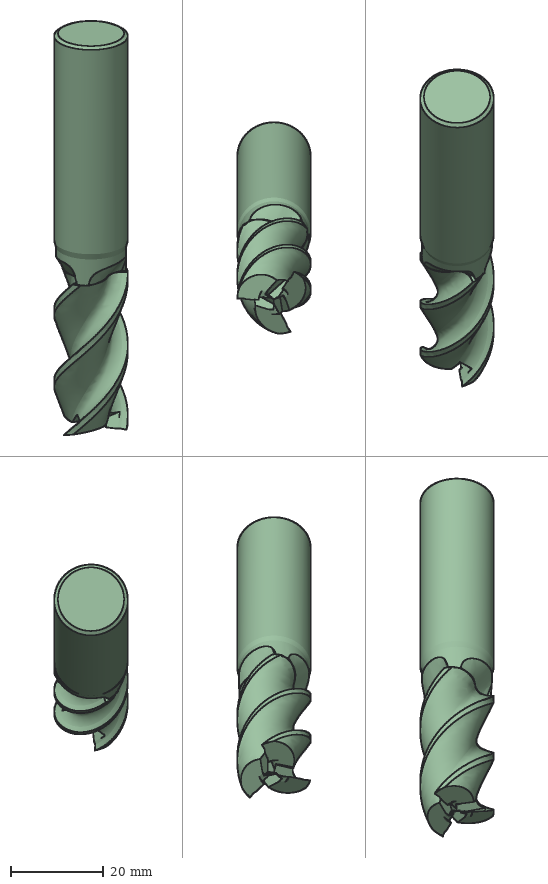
import cadquery as cq
import math

LENGTH = 92.0
DIAMETER = 16.0
RADIUS = DIAMETER / 2
SHANK_CHAMFER_WIDTH = 0.8
SHANK_CHAMFER_HEIGHT = 0.55

NECK_RADIUS = 7.6
NECK_CONE_TOP = 43.5
NECK_CONE_BASE = 42.1

CUTTER_LENGTH = 36.0
FLUTES = 3
FLUTE_PITCH = 360 / FLUTES
HELIX_ANGLE = 45.0
LEAD = math.pi * DIAMETER / math.tan(math.radians(HELIX_ANGLE))
CUTTER_TWIST = 360 * CUTTER_LENGTH / LEAD
EDGE_ANGLE = 56.0

LAND_ANGLE = 13.0
HEEL_RADIUS = 6.8
HEEL_ANGLE = 36.0
ROOT_RADIUS = 4.4
ROOT_ANGLE = 83.0
RAKE_RADIUS = 6.7
RAKE_ANGLE = 1.0

RUNOUT_RADIUS = 8.3
RUNOUT_HEIGHT = 5.15
RUNOUT_LAND_TURN = 6.0
RUNOUT_EDGE_TURN = -6.0
RUNOUT_HEEL_TURN = -8.0
RUNOUT_ROOT_TURN = 10.0
RUNOUT_RAKE_ARC = 6.0

END_RELIEF_ANGLE = 17.0
GASH_WIDTH = 2.2
GASH_LEAN = 38.0
GASH_SLOPE = 30.0
TIP_RECESS_RADIUS = 3.3
TIP_RECESS_DEPTH = 0.55
CLEARANCE = 0.9


def polar(radius, angle):
    """Point in the XY plane; the angle is in degrees."""
    return cq.Vector(radius * math.cos(math.radians(angle)), radius * math.sin(math.radians(angle)))


def fluted_outline(land_radius, first_edge, land_turn=0.0):
    """Closed outline of land, convex tooth back, concave flute and flat rake face for every tooth."""
    edges = []
    for tooth in range(FLUTES):
        start = first_edge + tooth * FLUTE_PITCH
        land_start = start + land_turn
        land_end = polar(land_radius, land_start + LAND_ANGLE)
        root = polar(ROOT_RADIUS, start + ROOT_ANGLE)
        rake_foot = polar(RAKE_RADIUS, start + FLUTE_PITCH + land_turn + RAKE_ANGLE)
        land = cq.Edge.makeThreePointArc(
            polar(land_radius, land_start), polar(land_radius, land_start + LAND_ANGLE / 2), land_end
        )
        back = cq.Edge.makeThreePointArc(land_end, polar(HEEL_RADIUS, start + HEEL_ANGLE), root)
        flute = cq.Edge.makeTangentArc(root, back.tangentAt(1), rake_foot)
        rake = cq.Edge.makeLine(rake_foot, polar(land_radius, land_start + FLUTE_PITCH))
        edges += [land, back, flute, rake]
    return cq.Wire.assembleEdges(edges)


def runout_circle(first_edge):
    """Circle at the runout's top, split into one arc for each edge of the fluted outline."""
    splits = []
    for tooth in range(FLUTES):
        start = first_edge + tooth * FLUTE_PITCH
        edge = start + RUNOUT_LAND_TURN + RUNOUT_EDGE_TURN
        splits += [
            edge,
            start + RUNOUT_LAND_TURN + LAND_ANGLE + RUNOUT_HEEL_TURN,
            start + ROOT_ANGLE + RUNOUT_ROOT_TURN,
            edge + FLUTE_PITCH - RUNOUT_RAKE_ARC,
        ]
    splits.append(splits[0] + 360)
    arcs = [
        cq.Edge.makeThreePointArc(
            polar(RUNOUT_RADIUS, begin),
            polar(RUNOUT_RADIUS, (begin + end) / 2),
            polar(RUNOUT_RADIUS, end),
        )
        for begin, end in zip(splits, splits[1:])
    ]
    return cq.Wire.assembleEdges(arcs)


def flute_runout():
    """Material removed from the neck where the flutes climb out of it."""
    edge_at_joint = EDGE_ANGLE + CUTTER_TWIST
    base = fluted_outline(RUNOUT_RADIUS, edge_at_joint, RUNOUT_LAND_TURN)
    top = runout_circle(edge_at_joint).translate(cq.Vector(0, 0, RUNOUT_HEIGHT))
    remaining = cq.Workplane(cq.Solid.makeLoft([base, top], True))
    blank = cq.Workplane("XY").circle(RADIUS).extrude(RUNOUT_HEIGHT)
    return blank.cut(remaining).translate((0, 0, CUTTER_LENGTH))


def make_shank():
    """Chamfered round shank with a stepped-down neck into which the flutes run out."""
    blank = (
        cq.Workplane("XZ")
        .moveTo(0, CUTTER_LENGTH)
        .lineTo(NECK_RADIUS, CUTTER_LENGTH)
        .lineTo(NECK_RADIUS, NECK_CONE_BASE)
        .lineTo(RADIUS, NECK_CONE_TOP)
        .lineTo(RADIUS, LENGTH - SHANK_CHAMFER_HEIGHT)
        .lineTo(RADIUS - SHANK_CHAMFER_WIDTH, LENGTH)
        .lineTo(0, LENGTH)
        .close()
        .revolve(360, (0, 0, 0), (0, 1, 0))
    )
    return blank.cut(flute_runout())


def end_relief():
    """Wedge below the end face behind one cutting edge lying along +X, rising away from that edge."""
    inner_reach = TIP_RECESS_RADIUS / 2
    rise = DIAMETER * math.tan(math.radians(END_RELIEF_ANGLE))
    return (
        cq.Workplane("YZ")
        .polyline([(0, 0), (DIAMETER, rise), (DIAMETER, -CLEARANCE), (0, -CLEARANCE)])
        .close()
        .extrude(RADIUS + CLEARANCE + inner_reach)
        .translate((-inner_reach, 0, 0))
    )


def gash():
    """Notch in front of one edge lying along +X, leaning with the helix and deepening outwards."""
    reach = RADIUS + CLEARANCE
    outer_height = TIP_RECESS_DEPTH + reach * math.tan(math.radians(GASH_SLOPE))
    return (
        cq.Workplane("XZ")
        .polyline(
            [
                (0, -CLEARANCE),
                (0, TIP_RECESS_DEPTH),
                (reach, outer_height),
                (reach, -CLEARANCE),
            ]
        )
        .close()
        .extrude(GASH_WIDTH)
        .rotate((0, 0, 0), (1, 0, 0), -GASH_LEAN)
    )


def make_cutter():
    """Helical fluted cutter with relieved and gashed end teeth."""
    outline = fluted_outline(RADIUS, EDGE_ANGLE)
    cutter = cq.Workplane(
        cq.Solid.extrudeLinearWithRotation(
            outline, [], cq.Vector(0, 0, 0), cq.Vector(0, 0, CUTTER_LENGTH), CUTTER_TWIST
        )
    )
    tip_recess = cq.Workplane("XY").circle(TIP_RECESS_RADIUS).extrude(TIP_RECESS_DEPTH)
    cutter = cutter.cut(tip_recess)
    for tooth in range(FLUTES):
        angle = EDGE_ANGLE + tooth * FLUTE_PITCH
        for tool in (end_relief(), gash()):
            cutter = cutter.cut(tool.rotate((0, 0, 0), (0, 0, 1), angle))
    return cutter


shank = make_shank()
cutter = make_cutter()
result = cq.Compound.makeCompound([shank.solids().val(), cutter.solids().val()])